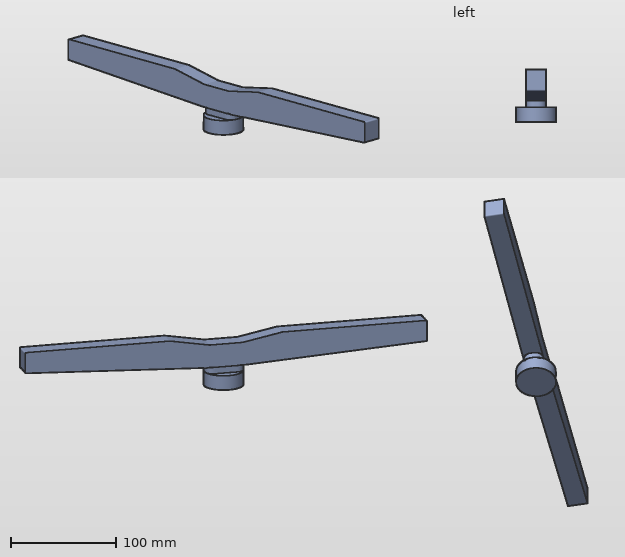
import cadquery as cq

length = 396.0
base_diameter = 38.0
total_height = 50.3

bar_width = 19.0
end_height = 20.5
middle_height = 22.5
dip_depth = 7.0
dip_top_half = 55.5
dip_floor_half = 16.2
underside_flat_half = base_diameter / 2
end_fillet = 1.4

base_height = 14.3
neck_corner_radius = 8.0

bar_bottom = -(dip_depth + middle_height)
base_bottom = -total_height
neck_height = total_height - base_height + bar_bottom


def make_crossbar():
    """Straight-sided bar with a dipped top and an underside tapering towards both ends."""
    half_length = length / 2
    right_half = [
        (dip_floor_half, -dip_depth),
        (dip_top_half, 0),
        (half_length, 0),
        (half_length, -end_height),
        (underside_flat_half, bar_bottom),
    ]
    left_half = [(-x, z) for x, z in reversed(right_half)]
    bar = (
        cq.Workplane("XZ")
        .polyline(right_half + left_half)
        .close()
        .extrude(bar_width / 2, both=True)
    )
    return bar.faces("<X or >X").edges("|Y").fillet(end_fillet)


def make_foot():
    """Round base and the neck that carries the crossbar."""
    base = (
        cq.Workplane("XY", origin=(0, 0, base_bottom))
        .circle(base_diameter / 2)
        .extrude(base_height)
    )
    neck = (
        cq.Workplane("XY", origin=(0, 0, base_bottom + base_height))
        .rect(base_diameter, bar_width)
        .extrude(neck_height)
        .edges("|Z")
        .fillet(neck_corner_radius)
    )
    return base.union(neck)


crossbar = make_crossbar()
foot = make_foot()

result = cq.Compound.makeCompound([crossbar.val(), foot.val()])